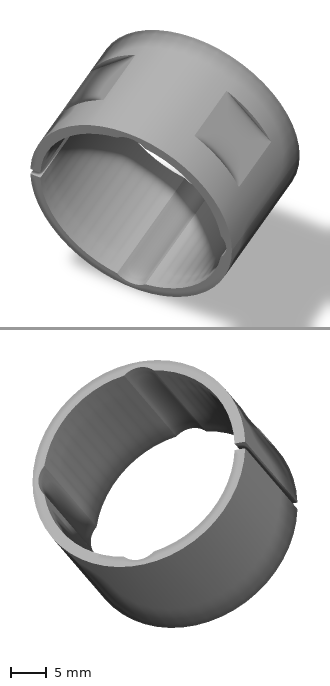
import cadquery as cq
import math

outer_radius = 15.88
wall = 1.6
length = 20.13
inner_radius = outer_radius - wall

slit_width = 1.02

groove_radius = 3.25
groove_wall = 0.9
groove_angles = (-90, 0, 90)

flat_depth = 0.8
flat_length = 9.52
flat_angles = (45, 135)


def axial_cylinder(radius, x=0.0, z=0.0):
    """Cylinder along Y spanning the ring length, centred on Y = 0."""
    end_face = cq.Workplane("XZ", origin=(x, length / 2, z))
    return end_face.circle(radius).extrude(length)


def groove_cutter(angle):
    """Cylinder whose outermost line lies groove_wall inside the outer surface."""
    offset = outer_radius - groove_wall - groove_radius
    direction = math.radians(angle)
    return axial_cylinder(groove_radius, offset * math.cos(direction), offset * math.sin(direction))


def flat_cutter(angle):
    """Block with its inner face flat_depth below the outer surface."""
    block = cq.Workplane("XY").box(outer_radius, flat_length, 2 * outer_radius)
    block = block.translate((1.5 * outer_radius - flat_depth, 0, 0))
    return block.rotate((0, 0, 0), (0, 1, 0), -angle)


ring = axial_cylinder(outer_radius).cut(axial_cylinder(inner_radius))

slit = cq.Workplane("XY").box(outer_radius, length, slit_width).translate((-outer_radius, 0, 0))
ring = ring.cut(slit)

for groove_angle in groove_angles:
    ring = ring.cut(groove_cutter(groove_angle))

for flat_angle in flat_angles:
    ring = ring.cut(flat_cutter(flat_angle))

result = ring